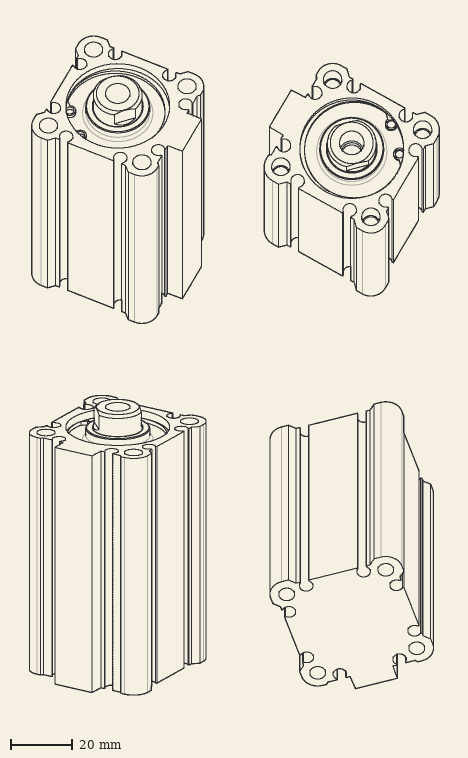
import cadquery as cq
import math

DIAGONAL = math.sqrt(0.5)

housing_height = 83.0
bolt_offset = 17.0
lug_radius = 5.5
lug_face = bolt_offset + lug_radius
plain_face = 20.5
port_face = 21.7
plain_flat_end = 14.7
port_flat_end = 15.7
turn = 45.0

port_block_face = 27.0
port_block_width = 14.4
port_block_root_width = 14.7

groove_radius = 2.2
groove_mouth = 3.0
plain_groove_depth = 2.05
plain_groove_offset = 9.85
port_groove_depth = 2.0
port_groove_offset = 10.25

bolt_thread_diameter = 6.0
bolt_thread_depth = 10.0
bolt_drill_diameter = 5.2

recess_radius = 17.0
recess_depth = 4.0
boss_radius = 10.5
boss_drop = 0.2
boss_edge = 0.3
boss_foot = 1.0
rod_hole_edge = 0.35

ring_thickness = 1.3
ring_outer_radius = 17.8
ring_inner_radius = 16.3
ring_inner_shift = -0.86
ear_x = 5.23
ear_y = -14.8
ear_radius = 1.95
ear_hole_radius = 1.4
ear_root_x = 9.2
ear_root_y = -14.15

rod_radius = 8.0
rod_top = 90.0
rod_bottom = 8.0
rod_chamfer = 1.0
rod_flat = 7.1
rod_flat_bottom = 84.0
rod_thread_diameter = 8.0
rod_thread_depth = 13.0
rod_drill_diameter = 6.8
rod_drill_depth = 16.0
drill_point_angle = 118.0

recess_floor = housing_height - recess_depth


def cylinder(radius, bottom, top, x=0.0, y=0.0):
    return cq.Workplane("XY").workplane(offset=bottom).center(x, y).circle(radius).extrude(top - bottom)


def bar(x_min, x_max, y_min, y_max):
    """Rectangular bar over the full housing height."""
    return cq.Workplane("XY").box(
        x_max - x_min, y_max - y_min, housing_height, centered=False
    ).translate((x_min, y_min, 0))


def corner_lug(x_sign, y_sign):
    """Rounded corner lug whose flats run back to the side faces over 45 degree bevels."""
    x_flat_end = port_flat_end if x_sign > 0 else plain_flat_end
    x_bevel_end = x_flat_end - (lug_face - plain_face)
    y_bevel_end = plain_flat_end - (lug_face - plain_face)
    arc_middle = bolt_offset + lug_radius * DIAGONAL
    lug = (
        cq.Workplane("XY")
        .moveTo(bolt_offset, lug_face)
        .lineTo(plain_flat_end, lug_face)
        .lineTo(y_bevel_end, plain_face)
        .lineTo(y_bevel_end, x_bevel_end)
        .lineTo(plain_face, x_bevel_end)
        .lineTo(lug_face, x_flat_end)
        .lineTo(lug_face, bolt_offset)
        .threePointArc((arc_middle, arc_middle), (bolt_offset, lug_face))
        .close()
        .extrude(housing_height)
    )
    if x_sign < 0:
        lug = lug.mirror("YZ")
    if y_sign < 0:
        lug = lug.mirror("XZ")
    return lug


def groove_pair(face, depth, offset):
    """Two sensor grooves in a +X side face."""
    pair = cq.Workplane("XY")
    for y in (-offset, offset):
        centre = face - depth
        pair = pair.union(cylinder(groove_radius, 0, housing_height, centre, y))
        pair = pair.union(bar(centre, lug_face, y - groove_mouth / 2, y + groove_mouth / 2))
    return pair


def make_port_block():
    """Tapered block that stands out from the port side."""
    half_root = port_block_root_width / 2
    half_face = port_block_width / 2
    return (
        cq.Workplane("XY")
        .moveTo(0, -half_root)
        .lineTo(port_face, -half_root)
        .lineTo(port_block_face, -half_face)
        .lineTo(port_block_face, half_face)
        .lineTo(port_face, half_root)
        .lineTo(0, half_root)
        .close()
        .extrude(housing_height)
    )


def make_profile():
    """Extruded section with lugs, port block, grooves and bolt holes."""
    body = bar(-plain_face, plain_face, -plain_face, plain_face)
    body = body.union(bar(0, port_face, -bolt_offset, bolt_offset))
    body = body.union(make_port_block())
    corners = [(i, j) for i in (-1, 1) for j in (-1, 1)]
    for x_sign, y_sign in corners:
        body = body.union(corner_lug(x_sign, y_sign))
    body = body.cut(groove_pair(port_face, port_groove_depth, port_groove_offset))
    for angle in (90, 180, 270):
        grooves = groove_pair(plain_face, plain_groove_depth, plain_groove_offset)
        body = body.cut(grooves.rotate((0, 0, 0), (0, 0, 1), angle))
    for x_sign, y_sign in corners:
        x = x_sign * bolt_offset
        y = y_sign * bolt_offset
        body = body.cut(cylinder(bolt_drill_diameter / 2, 0, housing_height, x, y))
        thread_bottom = housing_height - bolt_thread_depth
        body = body.cut(cylinder(bolt_thread_diameter / 2, thread_bottom, housing_height, x, y))
    return body.rotate((0, 0, 0), (0, 0, 1), turn)


def make_boss():
    """Guide boss with a filleted foot and a broken top edge."""
    top = housing_height - boss_drop
    fillet_gap = boss_foot * (1 - DIAGONAL)
    fillet_middle = (boss_radius + fillet_gap, recess_floor + fillet_gap)
    return (
        cq.Workplane("XZ")
        .moveTo(0, recess_floor)
        .lineTo(boss_radius + boss_foot, recess_floor)
        .threePointArc(fillet_middle, (boss_radius, recess_floor + boss_foot))
        .lineTo(boss_radius, top - boss_edge)
        .lineTo(boss_radius - boss_edge, top)
        .lineTo(0, top)
        .close()
        .revolve(360, (0, 0, 0), (0, 1, 0))
    )


def make_housing():
    body = make_profile()
    body = body.cut(cylinder(recess_radius, recess_floor, housing_height))
    body = body.cut(cylinder(ring_outer_radius, recess_floor, recess_floor + ring_thickness))
    body = body.union(make_boss())
    boss_top = housing_height - boss_drop
    rod_hole = cylinder(rod_radius, rod_bottom, boss_top)
    hole_edge = (
        cq.Workplane("XY")
        .workplane(offset=boss_top - rod_hole_edge)
        .circle(rod_radius)
        .workplane(offset=rod_hole_edge)
        .circle(rod_radius + rod_hole_edge)
        .loft()
    )
    return body.cut(rod_hole).cut(hole_edge)


def make_ring():
    """Eccentric retaining ring, open towards -Y between two ears with plier holes."""
    bottom = recess_floor
    top = bottom + ring_thickness
    disc = cylinder(ring_outer_radius, bottom, top)
    ring = disc.cut(cylinder(ring_inner_radius, bottom, top, 0, ring_inner_shift))
    gap = (
        cq.Workplane("XY")
        .workplane(offset=bottom)
        .center(0, -ring_outer_radius)
        .rect(2 * ear_x, ring_outer_radius)
        .extrude(ring_thickness)
    )
    ring = ring.cut(gap)
    for side in (-1, 1):
        x = side * ear_x
        root = (
            cq.Workplane("XY")
            .workplane(offset=bottom)
            .moveTo(x, ear_root_y)
            .lineTo(side * ear_root_x, ear_root_y)
            .lineTo(side * ear_root_x, -ring_outer_radius)
            .lineTo(x, -ring_outer_radius)
            .close()
            .extrude(ring_thickness)
        )
        ear = cylinder(ear_radius, bottom, top, x, ear_y).union(root).intersect(disc)
        ring = ring.union(ear).cut(cylinder(ear_hole_radius, bottom, top, x, ear_y))
    return ring


def make_rod():
    """Piston rod with two wrench flats and a tapped hole in its end."""
    rod = cylinder(rod_radius, rod_bottom, rod_top).faces(">Z").chamfer(rod_chamfer)
    flat_step = rod_radius - rod_flat
    flat_cut = (
        cq.Workplane("XZ")
        .moveTo(rod_radius, rod_flat_bottom - flat_step)
        .lineTo(rod_flat, rod_flat_bottom)
        .lineTo(rod_flat, rod_top)
        .lineTo(rod_radius, rod_top)
        .close()
        .extrude(rod_radius, both=True)
    )
    rod = rod.cut(flat_cut).cut(flat_cut.mirror("YZ"))
    drill_radius = rod_drill_diameter / 2
    point_height = drill_radius / math.tan(math.radians(drill_point_angle / 2))
    drill_bottom = rod_top - rod_drill_depth
    drill = (
        cq.Workplane("XZ")
        .moveTo(0, rod_top)
        .lineTo(rod_thread_diameter / 2, rod_top)
        .lineTo(rod_thread_diameter / 2, rod_top - rod_thread_depth)
        .lineTo(drill_radius, rod_top - rod_thread_depth)
        .lineTo(drill_radius, drill_bottom)
        .lineTo(0, drill_bottom - point_height)
        .close()
        .revolve(360, (0, 0, 0), (0, 1, 0))
    )
    return rod.cut(drill)


housing = make_housing()
ring = make_ring()
rod = make_rod()
result = cq.Compound.makeCompound([housing.val(), ring.val(), rod.val()])